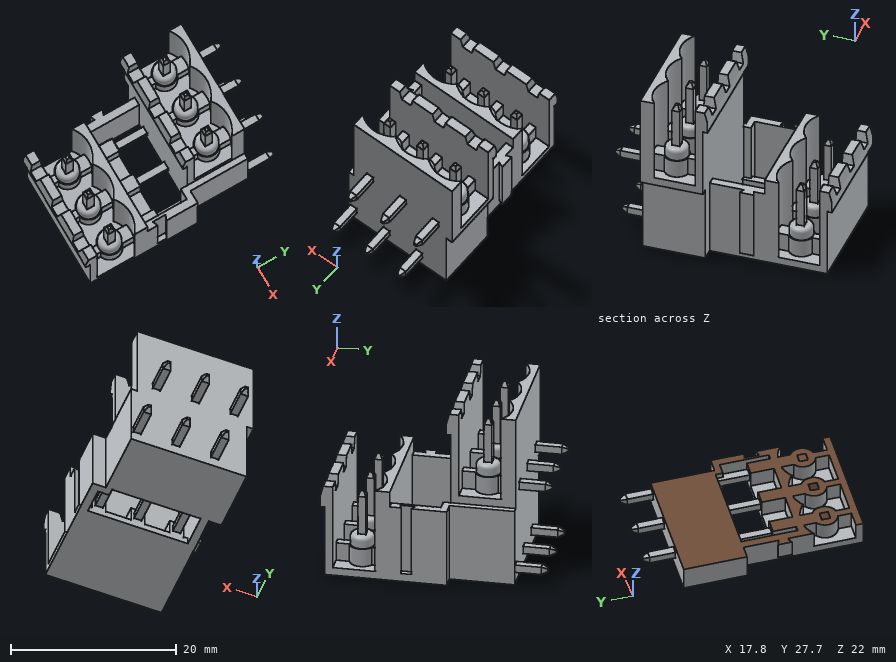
import cadquery as cq


overall_width = 17.78
pins_per_row = 3
pitch = overall_width / (pins_per_row + 0.5)
row_width = pins_per_row * pitch
tier_rise = 10.0
tier_advance = 15.07
tier_origins = [(0, 0, tier_rise), (pitch / 2, -tier_advance, 0)]
lower_left = pitch / 2
lower_right = overall_width

tier_height = 12.0
tier_depth = 8.03
floor_thickness = 1.05
front_wall = 1.0
scallop_crest_wall = 0.9
scallop_cusp_wall = 1.83
channel_front = -tier_depth + front_wall

lip_overhang = 0.58
lip_height = 2.83
lip_slope_run = 0.35
lip_slope_height = 1.35
notch_top_width = 2.0
notch_bottom_width = 1.38

seat_height = 2.35
seat_rear_width = 1.8
boss_diameter = 3.2
collar_diameter = 3.0
collar_height = 1.5
collar_fillet = 0.5

pin_size = 1.0
pin_tip_size = 0.4
upright_tip_length = 0.7
tail_tip_length = 0.78
pin_setback = 3.85
tail_axis_height = 2.08
pin_top_height = 10.66
tail_overhang = 4.02

base_left = 0.9
base_right = 16.05
side_wall = 1.08
jog_thickness = 0.91
bridge_rear = -12.13

dovetail_center = -13.02
dovetail_outer_width = 1.8
dovetail_neck_width = 1.27
dovetail_depth = 0.7
dovetail_bottom = 1.08


def block(x_range, y_range, z_range):
    """Box given by its limits along each axis."""
    size = [high - low for low, high in (x_range, y_range, z_range)]
    return cq.Workplane().box(*size, centered=False).translate((x_range[0], y_range[0], z_range[0]))


def frustum(bottom_size, top_size, height):
    """Square pyramid stump standing on the origin."""
    return (
        cq.Workplane()
        .rect(bottom_size, bottom_size)
        .workplane(offset=height)
        .rect(top_size, top_size)
        .loft()
    )


def pin_centers():
    return [(index + 0.5) * pitch for index in range(pins_per_row)]


def channel():
    """Space between the flat front wall and the scalloped rear wall."""
    outline = cq.Workplane().moveTo(0, channel_front).lineTo(0, -scallop_cusp_wall)
    for center in pin_centers():
        crest = (center, -scallop_crest_wall)
        cusp = (center + pitch / 2, -scallop_cusp_wall)
        outline = outline.threePointArc(crest, cusp)
    outline = outline.lineTo(row_width, channel_front).close()
    return outline.extrude(tier_height - floor_thickness).translate((0, 0, floor_thickness))


def latch_notch(center):
    """Tapered notch through the front wall and its lip, open at the top."""
    depth = tier_depth + lip_overhang
    bottom = tier_height - lip_slope_height
    outline = [
        (center - notch_top_width / 2, tier_height),
        (center - notch_bottom_width / 2, bottom),
        (center + notch_bottom_width / 2, bottom),
        (center + notch_top_width / 2, tier_height),
    ]
    front = cq.Workplane("XZ", origin=(0, -depth, 0)).polyline(outline).close()
    return front.extrude(-(depth + channel_front))


def pin_seat(center):
    """Boss with a collar, tied to the rear wall by a wide rib and to the front wall by a narrow one."""
    seat_top = floor_thickness + seat_height
    rear_rib = block(
        (center - seat_rear_width / 2, center + seat_rear_width / 2),
        (-pin_setback, -scallop_crest_wall),
        (0, seat_top),
    )
    front_rib = block(
        (center - pin_size / 2, center + pin_size / 2),
        (channel_front, -pin_setback),
        (0, seat_top),
    )
    axis = cq.Workplane(origin=(center, -pin_setback, 0))
    boss = axis.circle(boss_diameter / 2).extrude(seat_top)
    collar = axis.circle(collar_diameter / 2).extrude(seat_top + collar_height)
    collar = collar.faces(">Z").edges().fillet(collar_fillet)
    return rear_rib.union(front_rib).union(boss).union(collar)


def tier():
    """One tier of the housing, with its left rear bottom corner at the origin."""
    lip_front = -tier_depth - lip_overhang
    lip_bottom = tier_height - lip_height
    profile = [
        (0, 0),
        (-tier_depth, 0),
        (-tier_depth, lip_bottom),
        (lip_front, lip_bottom),
        (lip_front, tier_height - lip_slope_height),
        (lip_front + lip_slope_run, tier_height),
        (0, tier_height),
    ]
    body = cq.Workplane("YZ").polyline(profile).close().extrude(row_width).cut(channel())
    for center in pin_centers():
        body = body.cut(latch_notch(center)).union(pin_seat(center))
    return body


def dovetail(side):
    """Dovetail prism that widens toward -X, with its neck on the plane X = side."""
    outline = [
        (side, dovetail_center + dovetail_neck_width / 2),
        (side - dovetail_depth, dovetail_center + dovetail_outer_width / 2),
        (side - dovetail_depth, dovetail_center - dovetail_outer_width / 2),
        (side, dovetail_center - dovetail_neck_width / 2),
    ]
    prism = cq.Workplane().polyline(outline).close().extrude(tier_rise - dovetail_bottom)
    return prism.translate((0, 0, dovetail_bottom))


def base():
    """Block under the upper tier, with side walls that reach forward to the lower tier."""
    height = (0, tier_rise)
    wall_length = (-tier_advance, -tier_depth)
    body = block((base_left, base_right), (-tier_depth, 0), height)
    body = body.union(block((lower_left, lower_left + side_wall), wall_length, height))
    body = body.union(block((lower_right - side_wall, lower_right), wall_length, height))
    jog_length = (-tier_depth - jog_thickness, -tier_depth)
    return body.union(block((row_width, lower_right), jog_length, height))


def bridge():
    """Low ledge behind the lower tier, with a rib over each pin tail."""
    length = (-tier_advance, bridge_rear)
    body = block((lower_left, lower_right), length, (0, floor_thickness))
    for center in pin_centers():
        x = lower_left + center
        rib_width = (x - seat_rear_width / 2, x + seat_rear_width / 2)
        body = body.union(block(rib_width, length, (0, floor_thickness + seat_height)))
    return body


def bent_pin(x, y, tier_bottom):
    """Square pin with an upright contact at (x, y) and a tail that leaves the housing at the rear."""
    tail_axis = tier_bottom + tail_axis_height
    top = tier_bottom + pin_top_height
    half = pin_size / 2
    shaft_top = top - upright_tip_length
    shaft_rear = tail_overhang - tail_tip_length
    upright = block((x - half, x + half), (y - half, y + half), (tail_axis - half, shaft_top))
    tail = block((x - half, x + half), (y - half, shaft_rear), (tail_axis - half, tail_axis + half))
    upright_tip = frustum(pin_size, pin_tip_size, upright_tip_length).translate((x, y, shaft_top))
    tail_tip = frustum(pin_size, pin_tip_size, tail_tip_length)
    tail_tip = tail_tip.rotate((0, 0, 0), (1, 0, 0), -90).translate((x, shaft_rear, tail_axis))
    return upright.union(tail).union(upright_tip).union(tail_tip)


pins = []
for left, rear, bottom in tier_origins:
    for center in pin_centers():
        pins.append(bent_pin(left + center, rear - pin_setback, bottom))

housing = base().union(bridge())
for origin in tier_origins:
    housing = housing.union(tier().translate(origin))
housing = housing.union(dovetail(lower_left)).cut(dovetail(lower_right))
for pin in pins:
    housing = housing.cut(pin)

result = cq.Compound.makeCompound([housing.solids().val(), *[pin.solids().val() for pin in pins]])